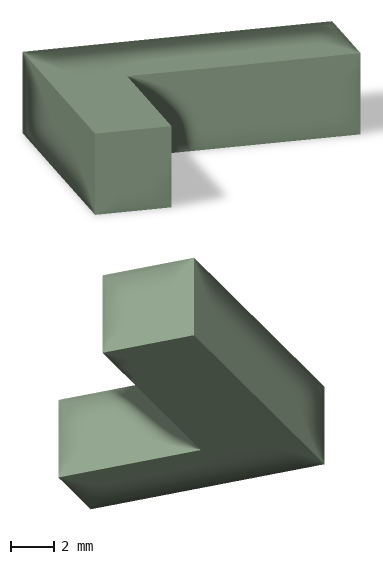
import cadquery as cq

length_x = 11.87
length_y = 15.0
thickness = 4.0

long_leg_width = 4.64
short_leg_width = 3.7


def leg(size_x, size_y):
    """Rectangular bar with its lower corner at the outer corner of the L."""
    return cq.Workplane("XY").box(size_x, size_y, thickness, centered=False)


long_leg = leg(long_leg_width, length_y)
short_leg = leg(length_x, short_leg_width)

result = long_leg.union(short_leg).clean()